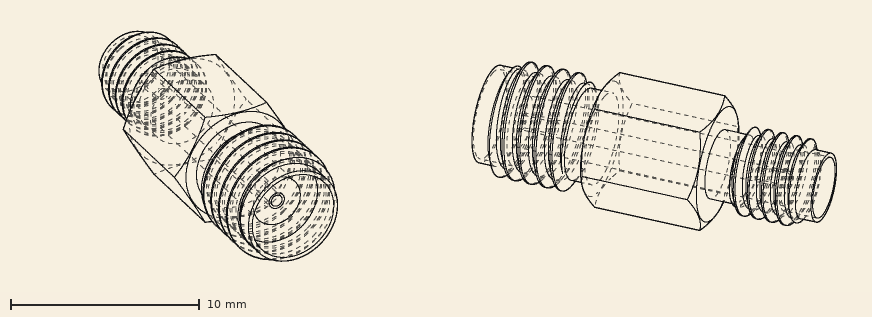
import cadquery as cq
import math


total_length = 18.99

hex_start = 6.04
hex_end = 12.63
across_flats = 6.35
grip_face_radius = 3.13
grip_chamfer_angle = 30.0

small_tube_radius = 1.88
small_crest_radius = 2.4
small_pitch = 0.8
small_thread_start = 0.9
small_thread_end = 4.65
small_root_place = 1.18

large_neck_radius = 2.5
large_lip_radius = 2.65
large_crest_radius = 3.17
large_pitch = 0.91
large_thread_start = 13.79
large_thread_end = 18.08
large_root_place = 14.5

flank_angle = 30.0
crest_flat_share = 1 / 8
root_flat_share = 1 / 4
groove_overshoot = 0.08

socket_depth = 1.9
socket_wall = 0.23
insulator_radius = 1.4
pin_radius = 0.45
pin_hole_radius = 0.32
pin_hole_depth = 1.9

flank_slope = math.tan(math.radians(flank_angle))


def cylinder(start, end, radius):
    """A cylinder along the X axis."""
    return cq.Workplane("YZ", origin=(start, 0, 0)).circle(radius).extrude(end - start)


def thread_depth(pitch):
    """Radial height of a thread whose flats and flanks fill one pitch."""
    flank_width = pitch * (1 - crest_flat_share - root_flat_share) / 2
    return flank_width / flank_slope


def groove_turn(pitch, root_radius, crest_radius):
    """One right-hand turn of the thread groove, rising along Z from the +X side."""
    outer_radius = crest_radius + groove_overshoot
    half_root = pitch * root_flat_share / 2
    half_mouth = half_root + (outer_radius - root_radius) * flank_slope
    path = cq.Wire.makeHelix(pitch, pitch, root_radius)
    profile = [
        (root_radius, -half_root),
        (outer_radius, -half_mouth),
        (outer_radius, half_mouth),
        (root_radius, half_root),
    ]
    return cq.Workplane("XZ").polyline(profile).close().sweep(cq.Workplane(path), isFrenet=True)


def tapered_bar(start, end, start_radius, middle_radius, end_radius, taper_slope):
    """A bar turned about X whose ends taper; the slope is taper length per unit of radius."""
    start_taper = (middle_radius - start_radius) * taper_slope
    end_taper = (middle_radius - end_radius) * taper_slope
    outline = [
        (start, 0),
        (start, start_radius),
        (start + start_taper, middle_radius),
        (end - end_taper, middle_radius),
        (end, end_radius),
        (end, 0),
    ]
    return cq.Workplane("XY").polyline(outline).close().revolve(360, (0, 0, 0), (1, 0, 0))


def threaded_stretch(start, end, start_radius, end_radius, crest_radius, pitch, root_place):
    """A bar along X, tapered to its neighbours' radii at both ends, with a thread groove cut in it."""
    root_radius = crest_radius - thread_depth(pitch)
    stretch = tapered_bar(start, end, start_radius, crest_radius, end_radius, flank_slope)
    turn = groove_turn(pitch, root_radius, crest_radius).rotate((0, 0, 0), (0, 1, 0), 90)
    first_turn = -math.ceil((root_place - start) / pitch) - 1
    last_turn = math.ceil((end - root_place) / pitch)
    for index in range(first_turn, last_turn + 1):
        stretch = stretch.cut(turn.translate((root_place + index * pitch, 0, 0)))
    return stretch


def hexagonal_grip():
    """The hexagon with flats on +Z and -Z, its corners chamfered at both ends."""
    corner_radius = across_flats / math.sqrt(3)
    grip = (
        cq.Workplane("YZ", origin=(hex_start, 0, 0))
        .polygon(6, 2 * corner_radius)
        .extrude(hex_end - hex_start)
    )
    chamfer_slope = math.tan(math.radians(grip_chamfer_angle))
    envelope = tapered_bar(
        hex_start, hex_end, grip_face_radius, corner_radius, grip_face_radius, chamfer_slope
    )
    return grip.intersect(envelope)


def make_housing():
    """The outer body: grip, both threaded stubs, end sockets and the insulator bore."""
    small_thread = threaded_stretch(
        small_thread_start,
        small_thread_end,
        small_tube_radius,
        small_tube_radius,
        small_crest_radius,
        small_pitch,
        small_root_place,
    )
    large_thread = threaded_stretch(
        large_thread_start,
        large_thread_end,
        large_neck_radius,
        large_lip_radius,
        large_crest_radius,
        large_pitch,
        large_root_place,
    )
    small_socket = cylinder(0, socket_depth, small_tube_radius - socket_wall)
    large_socket = cylinder(total_length - socket_depth, total_length, large_lip_radius - socket_wall)
    return (
        hexagonal_grip()
        .union(cylinder(0, hex_start, small_tube_radius))
        .union(cylinder(hex_end, large_thread_start, large_neck_radius))
        .union(cylinder(large_thread_end, total_length, large_lip_radius))
        .union(small_thread)
        .union(large_thread)
        .cut(small_socket)
        .cut(large_socket)
        .cut(cylinder(0, total_length, insulator_radius))
    )


def make_insulator():
    """The sleeve between housing and pin, flush with the floors of both sockets."""
    end = total_length - socket_depth
    return cylinder(socket_depth, end, insulator_radius).cut(cylinder(socket_depth, end, pin_radius))


def make_pin():
    """The contact pin, as long as the insulator, with a blind hole in each end."""
    start = socket_depth
    end = total_length - socket_depth
    return (
        cylinder(start, end, pin_radius)
        .cut(cylinder(start, start + pin_hole_depth, pin_hole_radius))
        .cut(cylinder(end - pin_hole_depth, end, pin_hole_radius))
    )


housing = make_housing()
insulator = make_insulator()
pin = make_pin()

result = cq.Compound.makeCompound([body.solids().val() for body in (housing, insulator, pin)])